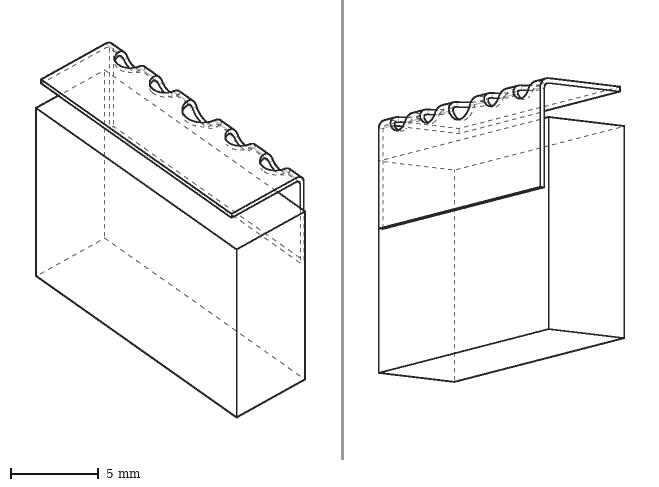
import cadquery as cq
import math

body_width = 17.2
body_depth = 5.21
body_height = 12.26

overall_height = 14.6
sheet_thickness = 0.3
bracket_width = 16.34
rear_overlap = 4.0
bend_inner_radius = 0.31
bend_outer_radius = bend_inner_radius + sheet_thickness
bend_neutral_radius = 0.43

small_hole_radius = 0.88
large_hole_radius = 1.17
inner_hole_spacing = 3.23
outer_hole_spacing = 6.23
hole_setback = 0.15
cut_margin = 0.17
wall_stations = 9

body_rear = body_depth / 2
bracket_rear = body_rear + sheet_thickness
bracket_front = -body_rear
leg_bottom = body_height - rear_overlap
bend_y = bracket_rear - bend_outer_radius
bend_z = overall_height - bend_outer_radius


def make_body():
    return cq.Workplane("XY").box(body_width, body_depth, body_height, centered=(True, True, False))


def make_bracket():
    """Extrude the L-shaped sheet with its rounded bend along X."""
    diagonal = math.sqrt(0.5)
    outer_mid = (bend_y + bend_outer_radius * diagonal, bend_z + bend_outer_radius * diagonal)
    inner_mid = (bend_y + bend_inner_radius * diagonal, bend_z + bend_inner_radius * diagonal)
    return (
        cq.Workplane("YZ")
        .moveTo(bracket_front, overall_height)
        .lineTo(bend_y, overall_height)
        .threePointArc(outer_mid, (bracket_rear, bend_z))
        .lineTo(bracket_rear, leg_bottom)
        .lineTo(body_rear, leg_bottom)
        .lineTo(body_rear, bend_z)
        .threePointArc(inner_mid, (bend_y, bend_z + bend_inner_radius))
        .lineTo(bracket_front, overall_height - sheet_thickness)
        .close()
        .extrude(bracket_width / 2, both=True)
    )


def make_bend_cutter(center_x, hole_radius):
    """Roll the part of a flat round hole inside the bend around the bend axis."""

    def wall_edge(side, radius):
        points = []
        for station in range(wall_stations):
            angle = math.pi / 2 * station / (wall_stations - 1)
            flat_distance = bend_neutral_radius * angle - hole_setback
            half_width = math.sqrt(hole_radius**2 - flat_distance**2)
            y = bend_y + radius * math.sin(angle)
            z = bend_z + radius * math.cos(angle)
            points.append(cq.Vector(center_x + side * half_width, y, z))
        return cq.Edge.makeSpline(points)

    inner = bend_inner_radius - cut_margin / 2
    outer = bend_outer_radius + cut_margin
    corners = [(-1, inner), (1, inner), (1, outer), (-1, outer)]
    edges = [wall_edge(side, radius) for side, radius in corners]
    faces = []
    for first, second in zip(edges, edges[1:] + edges[:1]):
        faces.append(cq.Face.makeRuledSurface(first, second))
    for get_point in (cq.Edge.startPoint, cq.Edge.endPoint):
        rim = cq.Wire.makePolygon([get_point(edge) for edge in edges], close=True)
        faces.append(cq.Face.makeFromWires(rim))
    return cq.Workplane(obj=cq.Solid.makeSolid(cq.Shell.makeShell(faces)).fix())


def make_flat_cutter(center_x, hole_radius, center_distance):
    """Make a disc, keeping only the part beyond the tangent line at local Y = 0."""
    height = sheet_thickness + 2 * cut_margin
    disc = cq.Workplane("XY").center(center_x, center_distance).circle(hole_radius).extrude(height)
    span = 2 * hole_radius
    keep = cq.Workplane("XY").center(center_x, span / 2).rect(span, span).extrude(height)
    return disc.intersect(keep)


def punch_hole(bracket, center_x, hole_radius):
    bend_length = bend_neutral_radius * math.pi / 2
    top_cutter = (
        make_flat_cutter(center_x, hole_radius, -hole_setback)
        .mirror("XZ")
        .translate((0, bend_y, overall_height - sheet_thickness - cut_margin))
    )
    rear_cutter = (
        make_flat_cutter(center_x, hole_radius, hole_setback - bend_length)
        .rotate((0, 0, 0), (1, 0, 0), -90)
        .translate((0, body_rear - cut_margin, bend_z))
    )
    bend_cutter = make_bend_cutter(center_x, hole_radius)
    return bracket.cut(top_cutter).cut(rear_cutter).cut(bend_cutter)


bracket = make_bracket()
bracket = punch_hole(bracket, 0, large_hole_radius)
for spacing in (inner_hole_spacing, outer_hole_spacing):
    for side in (-1, 1):
        bracket = punch_hole(bracket, side * spacing, small_hole_radius)

result = make_body().union(bracket)